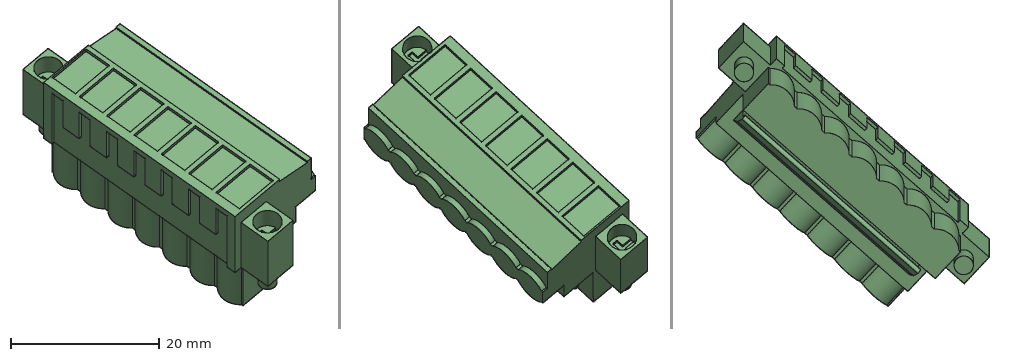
import cadquery as cq


POLES = 7
BODY_LENGTH = 35.0
PITCH = BODY_LENGTH / POLES
HALF_BODY = BODY_LENGTH / 2
POLE_CENTRES = [(i - (POLES - 1) / 2) * PITCH for i in range(POLES)]

BODY_HEIGHT = 11.75
TOP_FLAT_DEPTH = 8.9
SLOPE_HIGH_Z = 11.35
SLOPE_LOW_Z = 10.4
LIP_FRONT_Y = 14.43
LIP_Z = 10.65
UPPER_BACK_Y = 15.25
BACK_Y = 16.1
UNDERCUT_Y = 12.15

ENTRY_RADIUS = 2.75
ENTRY_Z = 4.65
BAND_HALF_HEIGHT = 1.52
BAND_TOP_Z = ENTRY_Z + BAND_HALF_HEIGHT
BAND_BOTTOM_Z = ENTRY_Z - BAND_HALF_HEIGHT

PLUG_LENGTH = 8.4
PLUG_FRONT_Y = 0.65
PLUG_WEB_Y = 1.6
PLUG_BACK_Y = 6.75
PLUG_BACK_TAPER = 0.11
COLUMN_WIDTH = 4.5

RECESS_DEPTH = 0.45
FINGER_WIDTH = 2.0
FINGER_TOP_Z = 10.65
COMB_BASE_Z = 5.15
RECESS_LENGTH = (POLES - 1) * PITCH + FINGER_WIDTH

BUTTON_WIDTH = 4.25
BUTTON_FRONT_Y = 1.45
BUTTON_BACK_Y = 8.2
BUTTON_SHIFT_X = -0.15
BUTTON_HEIGHT = 1.8
BUTTON_RECESS = 0.5
BUTTON_TOP_Z = BODY_HEIGHT - BUTTON_RECESS
BUTTON_CENTRES = [x + BUTTON_SHIFT_X for x in POLE_CENTRES]

OVERALL_LENGTH = 44.8
FLANGE_LENGTH = (OVERALL_LENGTH - BODY_LENGTH) / 2
FLANGE_WIDTH = 5.0
FLANGE_HEIGHT = 9.45
SCREW_X = 20.03
SCREW_Y = 3.7
HEAD_DIAMETER = 3.95
HEAD_TOP_Z = 6.25
HEAD_HEIGHT = 1.8
SHANK_DIAMETER = 2.6
SHANK_TIP_Z = -3.23
SLOT_DEPTH = 0.45
LONG_SLOT_WIDTH = 0.6
SHORT_SLOT_WIDTH = 0.75
SHORT_SLOT_LENGTH = 2.8

LATCH_END_GAP = 1.5
LATCH_LENGTH = BODY_LENGTH - 2 * LATCH_END_GAP
LATCH_BACK_Y = 10.25
LATCH_FRONT_Y = 8.05
LATCH_NECK_Y = 8.35
LATCH_NECK_TOP_Z = -0.85
LATCH_NECK_BOTTOM_Z = -3.0
LATCH_BEND = (9.4, -3.05)
LATCH_CURVE_MID = (9.8, -1.6)
LATCH_TIP_BACK = (8.5, -4.3)
LATCH_TIP_MID = (8.2, -4.2)
LATCH_TIP_FRONT = (8.05, -3.4)


def block(x_range, y_range, z_range):
    """Box between the given limits."""
    (x0, x1), (y0, y1), (z0, z1) = x_range, y_range, z_range
    return cq.Workplane("XY").box(x1 - x0, y1 - y0, z1 - z0, centered=False).translate((x0, y0, z0))


def cylinder(x, y, z_bottom, z_top, diameter):
    """Upright cylinder."""
    return cq.Workplane("XY", origin=(x, y, z_bottom)).circle(diameter / 2).extrude(z_top - z_bottom)


def along_row(length):
    """YZ sketch plane from which an extrusion of this length is centred on the row."""
    return cq.Workplane("YZ", origin=(-length / 2, 0, 0))


def make_main_body():
    return (
        along_row(BODY_LENGTH)
        .polyline([
            (0, 0),
            (0, BODY_HEIGHT),
            (TOP_FLAT_DEPTH, BODY_HEIGHT),
            (TOP_FLAT_DEPTH, SLOPE_HIGH_Z),
            (LIP_FRONT_Y, SLOPE_LOW_Z),
            (LIP_FRONT_Y, LIP_Z),
            (UPPER_BACK_Y, LIP_Z),
            (UPPER_BACK_Y, BAND_TOP_Z),
            (BACK_Y, BAND_TOP_Z),
            (BACK_Y, BAND_BOTTOM_Z),
            (UNDERCUT_Y, BAND_BOTTOM_Z),
            (UNDERCUT_Y, 0),
        ])
        .close()
        .extrude(BODY_LENGTH)
    )


def make_wire_entry(x):
    return (
        cq.Workplane("XZ", origin=(x, BACK_Y, ENTRY_Z))
        .circle(ENTRY_RADIUS)
        .extrude(BACK_Y - UNDERCUT_Y)
        .intersect(block((x - PITCH / 2, x + PITCH / 2), (UNDERCUT_Y, BACK_Y), (0, BODY_HEIGHT)))
    )


def make_plug():
    """Row of round-fronted columns joined by webs, with a slightly tapered back."""
    outline = cq.Workplane("XY").moveTo(-HALF_BODY, PLUG_BACK_Y).lineTo(-HALF_BODY, PLUG_WEB_Y)
    for x in POLE_CENTRES:
        outline = outline.lineTo(x - COLUMN_WIDTH / 2, PLUG_WEB_Y)
        outline = outline.threePointArc((x, PLUG_FRONT_Y), (x + COLUMN_WIDTH / 2, PLUG_WEB_Y))
    outline = outline.lineTo(HALF_BODY, PLUG_WEB_Y).lineTo(HALF_BODY, PLUG_BACK_Y).close()
    taper_wedge = (
        along_row(BODY_LENGTH)
        .polyline([
            (PLUG_BACK_Y, 0),
            (PLUG_BACK_Y, -PLUG_LENGTH),
            (PLUG_BACK_Y - PLUG_BACK_TAPER, -PLUG_LENGTH),
        ])
        .close()
        .extrude(BODY_LENGTH)
    )
    return outline.extrude(-PLUG_LENGTH).cut(taper_wedge)


def make_latch():
    return (
        along_row(LATCH_LENGTH)
        .moveTo(LATCH_BACK_Y, 0)
        .threePointArc(LATCH_CURVE_MID, LATCH_BEND)
        .lineTo(*LATCH_TIP_BACK)
        .threePointArc(LATCH_TIP_MID, LATCH_TIP_FRONT)
        .lineTo(LATCH_NECK_Y, LATCH_NECK_BOTTOM_Z)
        .lineTo(LATCH_NECK_Y, LATCH_NECK_TOP_Z)
        .lineTo(LATCH_FRONT_Y, 0)
        .close()
        .extrude(LATCH_LENGTH)
    )


def make_front_recess():
    half = RECESS_LENGTH / 2
    comb = block((-half, half), (0, RECESS_DEPTH), (0, COMB_BASE_Z))
    for x in POLE_CENTRES:
        finger_sides = (x - FINGER_WIDTH / 2, x + FINGER_WIDTH / 2)
        comb = comb.union(block(finger_sides, (0, RECESS_DEPTH), (0, FINGER_TOP_Z)))
    return comb


def make_flange(side):
    """Screw flange at one end; side is -1 or 1."""
    centre_x = side * (HALF_BODY + FLANGE_LENGTH / 2)
    return block(
        (centre_x - FLANGE_LENGTH / 2, centre_x + FLANGE_LENGTH / 2),
        (SCREW_Y - FLANGE_WIDTH / 2, SCREW_Y + FLANGE_WIDTH / 2),
        (0, FLANGE_HEIGHT),
    )


def make_screw_hole(side):
    x = side * SCREW_X
    head_seat_z = HEAD_TOP_Z - HEAD_HEIGHT
    counterbore = cylinder(x, SCREW_Y, head_seat_z, FLANGE_HEIGHT, HEAD_DIAMETER)
    return cylinder(x, SCREW_Y, 0, FLANGE_HEIGHT, SHANK_DIAMETER).union(counterbore)


def button_prism(x, z_top):
    """Prism filling a button well from its floor up to z_top."""
    return block(
        (x - BUTTON_WIDTH / 2, x + BUTTON_WIDTH / 2),
        (BUTTON_FRONT_Y, BUTTON_BACK_Y),
        (BUTTON_TOP_Z - BUTTON_HEIGHT, z_top),
    )


def make_housing():
    housing = make_main_body().union(make_plug()).union(make_latch())
    for x in POLE_CENTRES:
        housing = housing.union(make_wire_entry(x))
    housing = housing.cut(make_front_recess())
    for x in BUTTON_CENTRES:
        housing = housing.cut(button_prism(x, BODY_HEIGHT))
    for side in (-1, 1):
        housing = housing.union(make_flange(side)).cut(make_screw_hole(side))
    return housing


def make_button(x):
    return button_prism(x, BUTTON_TOP_Z)


def make_screw(side):
    """Flange screw with a cross-slotted head."""
    x = side * SCREW_X
    head = cylinder(x, SCREW_Y, HEAD_TOP_Z - HEAD_HEIGHT, HEAD_TOP_Z, HEAD_DIAMETER)
    shank = cylinder(x, SCREW_Y, SHANK_TIP_Z, HEAD_TOP_Z - HEAD_HEIGHT, SHANK_DIAMETER)
    slot_centre = (x, SCREW_Y, HEAD_TOP_Z)
    long_slot = cq.Workplane("XY", origin=slot_centre).rect(LONG_SLOT_WIDTH, HEAD_DIAMETER)
    short_slot = cq.Workplane("XY", origin=slot_centre).rect(SHORT_SLOT_LENGTH, SHORT_SLOT_WIDTH)
    screw = head.union(shank)
    return screw.cut(long_slot.extrude(-SLOT_DEPTH)).cut(short_slot.extrude(-SLOT_DEPTH))


housing = make_housing()
buttons = [make_button(x) for x in BUTTON_CENTRES]
screws = [make_screw(side) for side in (-1, 1)]

result = cq.Compound.makeCompound(
    [housing.val()] + [button.val() for button in buttons] + [screw.val() for screw in screws]
)